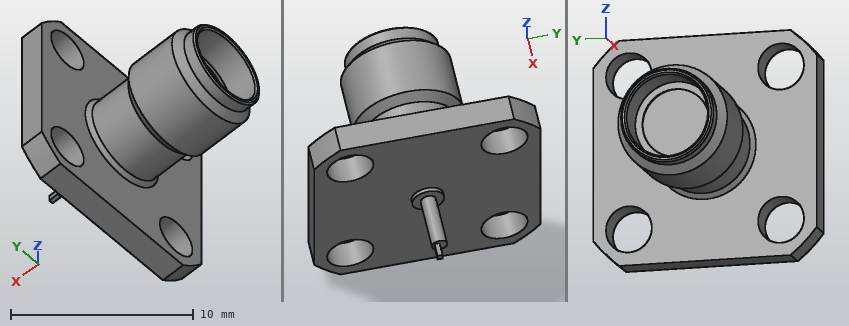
import cadquery as cq


total_length = 13.5
flange_front = 8.0
flange_thickness = 1.52
flange_back = flange_front + flange_thickness
nose_length = 0.78
collar_end = 5.0
dielectric_length = 0.23
dielectric_end = flange_back + dielectric_length
pin_end = 12.72

barrel_radius = 2.63
collar_radius = 3.1
collar_bevel = collar_radius - barrel_radius
flare_size = 0.27
rim_bevel = 0.1

bore_radius = 2.3
bore_depth = 1.9
bore_bevel = 0.1
recess_radius = 1.9
recess_depth = 0.1

flange_side = 12.7
flange_turned_radius = 8.0
hole_diameter = 2.6
hole_pitch = 8.64

dielectric_radius = 0.9
pin_radius = 0.43
tab_width = 0.4
tab_thickness = 0.28


def cylinder(start, end, radius):
    """Solid cylinder on the X axis between two stations."""
    return cq.Workplane("YZ").workplane(offset=start).circle(radius).extrude(end - start)


def make_barrel():
    """Turned barrel with a bevelled rim, a raised collar and a flared root."""
    profile = [
        (0, 0),
        (0, barrel_radius - rim_bevel),
        (rim_bevel, barrel_radius),
        (nose_length, barrel_radius),
        (nose_length + collar_bevel, collar_radius),
        (collar_end - collar_bevel, collar_radius),
        (collar_end, barrel_radius),
        (flange_front - flare_size, barrel_radius),
        (flange_front, barrel_radius + flare_size),
        (flange_front, 0),
    ]
    return cq.Workplane("XY").polyline(profile).close().revolve(360, (0, 0), (1, 0))


def make_bore():
    """Bevelled mating bore with a shallow round recess in its floor."""
    profile = [
        (0, 0),
        (0, bore_radius + bore_bevel),
        (bore_bevel, bore_radius),
        (bore_depth, bore_radius),
        (bore_depth, recess_radius),
        (bore_depth + recess_depth, recess_radius),
        (bore_depth + recess_depth, 0),
    ]
    return cq.Workplane("XY").polyline(profile).close().revolve(360, (0, 0), (1, 0))


def make_flange():
    """Square plate with turned corners and four mounting holes."""
    plate = (
        cq.Workplane("YZ")
        .workplane(offset=flange_front)
        .rect(flange_side, flange_side)
        .extrude(flange_thickness)
    )
    plate = plate.intersect(cylinder(flange_front, flange_back, flange_turned_radius))
    holes = (
        cq.Workplane("YZ")
        .workplane(offset=flange_front)
        .rect(hole_pitch, hole_pitch, forConstruction=True)
        .vertices()
        .circle(hole_diameter / 2)
        .extrude(flange_thickness)
    )
    return plate.cut(holes)


def make_contact():
    """Dielectric collar, round pin and the flat solder tab on one side of the pin's axis."""
    dielectric = cylinder(flange_back, dielectric_end, dielectric_radius)
    pin = cylinder(dielectric_end, pin_end, pin_radius)
    tab = (
        cq.Workplane("YZ")
        .workplane(offset=pin_end)
        .center(-tab_thickness / 2, 0)
        .rect(tab_thickness, tab_width)
        .extrude(total_length - pin_end)
    )
    return dielectric.union(pin).union(tab)


barrel = make_barrel().cut(make_bore())
result = barrel.union(make_flange()).union(make_contact())